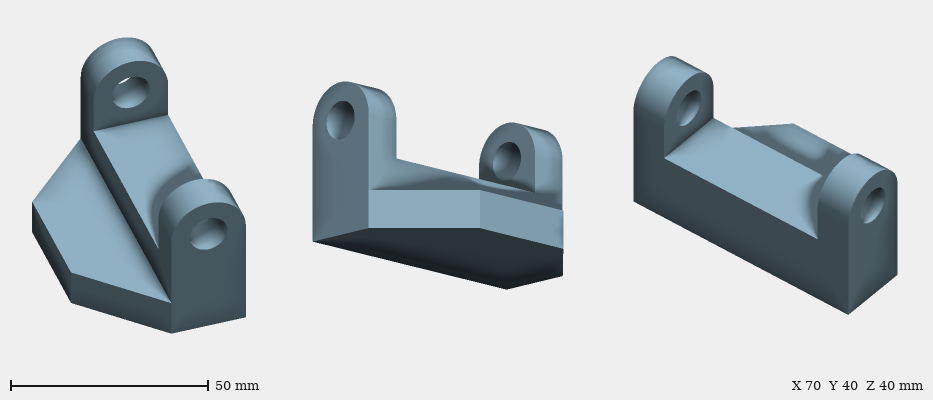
import cadquery as cq

length = 70.0
thickness = length / 7
lug_depth = 2 * thickness
plate_depth = 4 * thickness
total_height = 4 * thickness
hole_diameter = thickness

half_length = length / 2
lug_radius = lug_depth / 2
corner_cut = plate_depth - lug_depth
front_half_width = half_length - corner_cut
hole_height = total_height - lug_radius
block_length = length - 2 * thickness


def make_base_plate():
    """Flat plate with its two front corners cut off at 45 degrees."""
    return (
        cq.Workplane("XY")
        .moveTo(-half_length, 0)
        .lineTo(-half_length, -lug_depth)
        .lineTo(-front_half_width, -plate_depth)
        .lineTo(front_half_width, -plate_depth)
        .lineTo(half_length, -lug_depth)
        .lineTo(half_length, 0)
        .close()
        .extrude(thickness)
    )


def make_spacer_block():
    """Rectangular block filling the space between the feet of the lugs."""
    return (
        cq.Workplane("XY")
        .box(block_length, lug_depth, thickness, centered=(True, False, False))
        .translate((0, -lug_depth, thickness))
    )


def make_lug(left_x):
    """Upright lug with a round top and a concentric through hole."""
    return (
        cq.Workplane("YZ", origin=(left_x, 0, 0))
        .moveTo(-lug_depth, thickness)
        .lineTo(-lug_depth, hole_height)
        .threePointArc((-lug_radius, total_height), (0, hole_height))
        .lineTo(0, thickness)
        .close()
        .moveTo(-lug_radius, hole_height)
        .circle(hole_diameter / 2)
        .extrude(thickness)
    )


base_plate = make_base_plate()
spacer_block = make_spacer_block()
lugs = [make_lug(left_x) for left_x in (-half_length, half_length - thickness)]

result = cq.Compound.makeCompound(
    [base_plate.val(), spacer_block.val(), *[lug.val() for lug in lugs]]
)